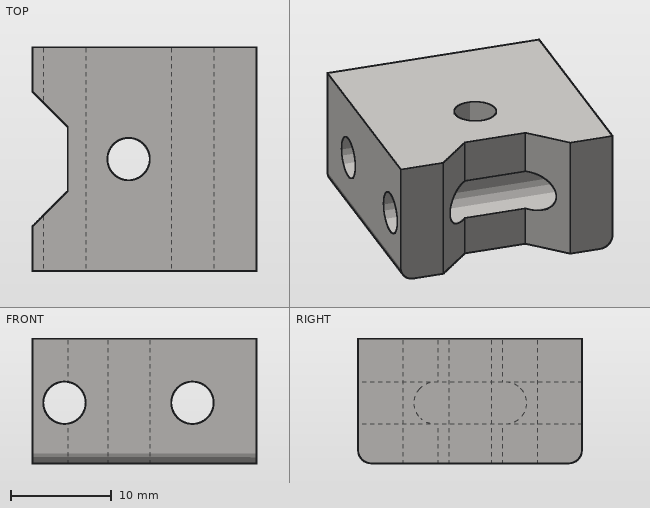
import cadquery as cq

side = 22.2
height = 12.37
bottom_edge_radius = 1.33

notch_mouth_width = 13.32
notch_depth = 3.49
notch_floor_width = notch_mouth_width - 2 * notch_depth

hole_diameter = 4.17
cross_hole_offsets = (3.17, 15.85)
cross_hole_drop = 6.35
vertical_hole_offset = 9.52

left_face = -side / 2


def make_block():
    """Block with its two bottom edges along X rounded."""
    block = cq.Workplane("XY").box(side, side, height, centered=(True, True, False))
    return block.edges("|X and <Z").fillet(bottom_edge_radius)


def make_notch():
    """Trapezoidal prism over the full height, narrowing into the block."""
    floor_x = left_face + notch_depth
    outline = [
        (left_face, -notch_mouth_width / 2),
        (floor_x, -notch_floor_width / 2),
        (floor_x, notch_floor_width / 2),
        (left_face, notch_mouth_width / 2),
    ]
    return cq.Workplane("XY").polyline(outline).close().extrude(height)


def make_cross_holes():
    """Two parallel holes along Y; the first breaks into the notch."""
    hole_z = height - cross_hole_drop
    centers = [(left_face + offset, hole_z) for offset in cross_hole_offsets]
    back_plane = cq.Workplane("XZ", origin=(0, side / 2, 0))
    return back_plane.pushPoints(centers).circle(hole_diameter / 2).extrude(side)


def make_vertical_hole():
    """Hole along Z on the centre line of the notch."""
    hole_x = left_face + vertical_hole_offset
    return cq.Workplane("XY").center(hole_x, 0).circle(hole_diameter / 2).extrude(height)


result = make_block().cut(make_notch()).cut(make_cross_holes()).cut(make_vertical_hole())